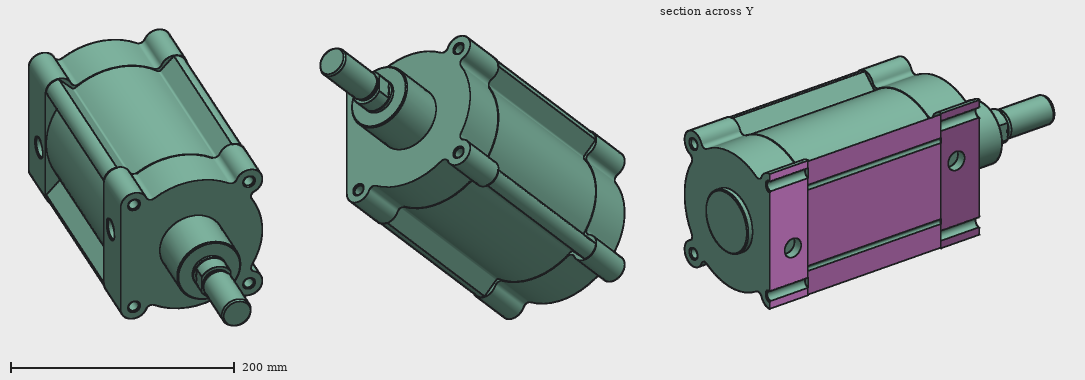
import cadquery as cq
import math


TOTAL_LENGTH = 365.0
SPIGOT_LENGTH = 6.0
CAP_LENGTH = 44.0
BARREL_LENGTH = 152.0
BOSS_LENGTH = 46.0

BARREL_START = SPIGOT_LENGTH + CAP_LENGTH
FRONT_CAP_START = BARREL_START + BARREL_LENGTH
BOSS_START = FRONT_CAP_START + CAP_LENGTH
ROD_START = BOSS_START + BOSS_LENGTH

CAP_WIDTH = 135.0
CAP_RADIUS = CAP_WIDTH / 2
LUG_RADIUS = 12.8
LUG_OFFSET = CAP_RADIUS - LUG_RADIUS
LUG_DISTANCE = LUG_OFFSET * math.sqrt(2)
CAP_FILLET = 5.0
SPIGOT_RADIUS = 30.3
EDGE_CHAMFER = 1.0

SCREW_HOLE_RADIUS = 4.7

PORT_RADIUS = 9.0
PORT_DEPTH = 22.0
PORT_INSET = 26.5
PORT_HEIGHT = 14.5

BARREL_INSET = 0.7
BARREL_RADIUS = CAP_RADIUS - BARREL_INSET
RIB_NOSE_RADIUS = LUG_RADIUS - BARREL_INSET
RIB_HALF_WIDTH = RIB_NOSE_RADIUS / math.sqrt(2)
BARREL_FILLET = 2.2

ROD_RADIUS = 16.0
COLLAR_LENGTH = 3.0
GROOVE_LENGTH = 1.0
WRENCH_LENGTH = 14.5
ACROSS_FLATS = 27.5
NECK_RADIUS = 12.8
NECK_LENGTH = 2.2
THREAD_RADIUS = 14.0
THREAD_CHAMFER_LENGTH = 2.2

FULL_TURN = 360
QUARTER_TURN = 90
DIAGONAL = 45
CORNER_COUNT = 4


def prism(outline, start, length):
    """Extrude a closed outline, drawn in the YZ plane, along +X from `start`."""
    return outline.extrude(length).translate((start, 0, 0))


def cylinder(radius, start, length, y=0.0, z=0.0):
    return prism(cq.Workplane("YZ").center(y, z).circle(radius), start, length)


def revolved(outline):
    """Turn a closed outline of (x, radius) points around the X axis."""
    return cq.Workplane("XY").polyline(outline).close().revolve(FULL_TURN, (0, 0), (1, 0))


def at_corners(shape):
    """Return four copies of a shape drawn along +Y, turned onto the diagonals."""
    return [
        shape.rotate((0, 0, 0), (1, 0, 0), DIAGONAL + QUARTER_TURN * turn)
        for turn in range(CORNER_COUNT)
    ]


def fillet_filler(anchor, centre, radius, start, length):
    """Fill the concave corner between the axis, `anchor` and the fillet `centre`, on both sides of +Y."""
    corner = prism(cq.Workplane("YZ").polyline([(0, 0), anchor, centre]).close(), start, length)
    filler = corner.cut(cylinder(radius, start, length, *centre))
    return filler.union(filler.mirror("XY"))


def cap_block():
    """Disc, four filleted lugs and the flat side, without holes, standing on X = 0."""
    to_axis = CAP_RADIUS + CAP_FILLET
    to_lug = LUG_RADIUS + CAP_FILLET
    centre_y = (to_axis**2 - to_lug**2 + LUG_DISTANCE**2) / (2 * LUG_DISTANCE)
    centre_z = math.sqrt(to_axis**2 - centre_y**2)

    lug = cylinder(LUG_RADIUS, 0, CAP_LENGTH, LUG_DISTANCE)
    lug = lug.union(
        fillet_filler((LUG_DISTANCE, 0), (centre_y, centre_z), CAP_FILLET, 0, CAP_LENGTH)
    )
    block = cylinder(CAP_RADIUS, 0, CAP_LENGTH)
    for corner_lug in at_corners(lug):
        block = block.union(corner_lug)

    flat_side = cq.Workplane("YZ").center(-CAP_RADIUS / 2, 0).rect(CAP_RADIUS, 2 * LUG_OFFSET)
    return block.union(prism(flat_side, 0, CAP_LENGTH))


def countersunk_hole(radius, depth):
    """Tool for a hole that starts at the origin and runs along +X, with a chamfered mouth."""
    outline = [
        (0, 0),
        (0, radius + EDGE_CHAMFER),
        (EDGE_CHAMFER, radius),
        (depth, radius),
        (depth, 0),
    ]
    return revolved(outline)


def make_cap(spigot_length, port_z):
    """Cap with its outer face at X = 0, its inner face toward +X and its spigot toward -X."""
    cap = cap_block()
    screw_hole = countersunk_hole(SCREW_HOLE_RADIUS, CAP_LENGTH)
    for hole in at_corners(screw_hole.translate((0, LUG_DISTANCE, 0))):
        cap = cap.cut(hole)

    port = countersunk_hole(PORT_RADIUS, PORT_DEPTH).rotate((0, 0, 0), (0, 0, 1), QUARTER_TURN)
    cap = cap.cut(port.translate((PORT_INSET, -CAP_RADIUS, port_z)))

    spigot = cylinder(SPIGOT_RADIUS, -spigot_length, spigot_length)
    return cap.union(spigot.faces("<X").chamfer(EDGE_CHAMFER))


def make_rear_cap():
    return make_cap(SPIGOT_LENGTH, -PORT_HEIGHT).translate((SPIGOT_LENGTH, 0, 0))


def make_front_cap():
    """The cap turned to face +X, with a long boss around the rod in place of the spigot."""
    return make_cap(BOSS_LENGTH, PORT_HEIGHT).mirror("YZ").translate((BOSS_START, 0, 0))


def make_barrel():
    centre_z = RIB_HALF_WIDTH + BARREL_FILLET
    centre_y = math.sqrt((BARREL_RADIUS + BARREL_FILLET) ** 2 - centre_z**2)

    nose_start = LUG_DISTANCE + RIB_HALF_WIDTH
    rib_outline = (
        cq.Workplane("YZ")
        .moveTo(0, -RIB_HALF_WIDTH)
        .lineTo(nose_start, -RIB_HALF_WIDTH)
        .threePointArc((LUG_DISTANCE + RIB_NOSE_RADIUS, 0), (nose_start, RIB_HALF_WIDTH))
        .lineTo(0, RIB_HALF_WIDTH)
        .close()
    )
    rib = prism(rib_outline, BARREL_START, BARREL_LENGTH).union(
        fillet_filler(
            (centre_y, RIB_HALF_WIDTH), (centre_y, centre_z), BARREL_FILLET, BARREL_START, BARREL_LENGTH
        )
    )
    barrel = cylinder(BARREL_RADIUS, BARREL_START, BARREL_LENGTH)
    for corner_rib in at_corners(rib):
        barrel = barrel.union(corner_rib)
    return barrel


def make_rod():
    """Rod end standing on the boss: collar, groove, two wrench flats, neck and chamfered thread."""
    collar_end = ROD_START + COLLAR_LENGTH
    wrench_start = collar_end + GROOVE_LENGTH
    neck_start = wrench_start + WRENCH_LENGTH
    cone_start = neck_start + NECK_LENGTH
    thread_start = cone_start + THREAD_CHAMFER_LENGTH
    chamfer_start = TOTAL_LENGTH - THREAD_CHAMFER_LENGTH
    outline = [
        (ROD_START, 0),
        (ROD_START, ROD_RADIUS),
        (collar_end, ROD_RADIUS),
        (collar_end, ACROSS_FLATS / 2),
        (wrench_start, ACROSS_FLATS / 2),
        (wrench_start, ROD_RADIUS),
        (neck_start, ROD_RADIUS),
        (neck_start, NECK_RADIUS),
        (cone_start, NECK_RADIUS),
        (thread_start, THREAD_RADIUS),
        (chamfer_start, THREAD_RADIUS),
        (TOTAL_LENGTH, NECK_RADIUS),
        (TOTAL_LENGTH, 0),
    ]
    rod = revolved(outline)

    flat_depth = ROD_RADIUS - ACROSS_FLATS / 2
    for side in (-1, 1):
        flat_cut = cq.Workplane("XY").box(WRENCH_LENGTH, flat_depth, 2 * ROD_RADIUS)
        flat_y = side * (ROD_RADIUS - flat_depth / 2)
        rod = rod.cut(flat_cut.translate((wrench_start + WRENCH_LENGTH / 2, flat_y, 0)))
    return rod


rear_cap = make_rear_cap()
barrel = make_barrel()
front_cap = make_front_cap()
rod = make_rod()

result = cq.Compound.makeCompound([rear_cap.val(), barrel.val(), front_cap.val(), rod.val()])